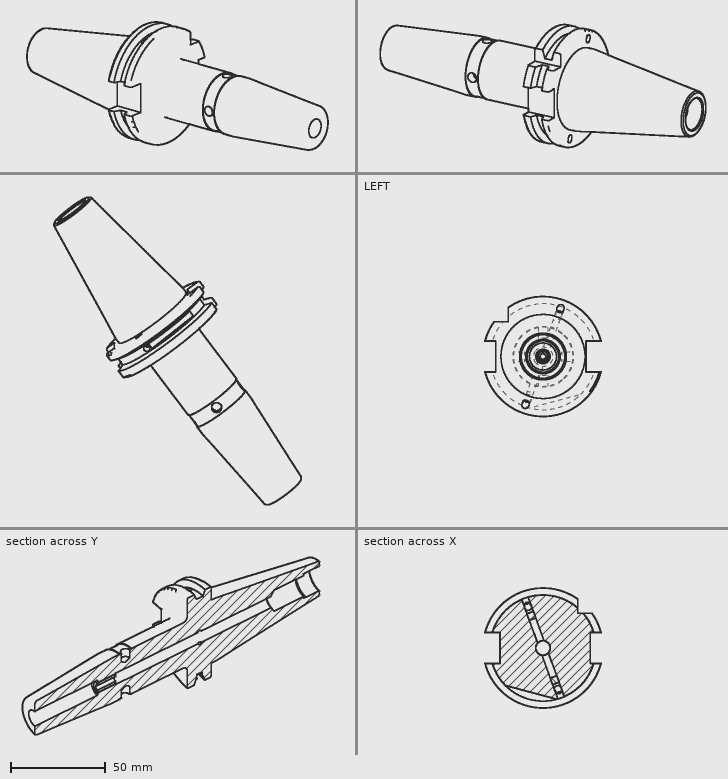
import cadquery as cq
import math

TOTAL_LENGTH = 188.4
SHANK_LENGTH = 68.4
FLANGE_START = 71.5
FLANGE_END = 87.6
SHRINK_TAPER_LENGTH = 50.9
RELIEF_START = 124.5
RELIEF_END = 132.3
SHRINK_TAPER_START = TOTAL_LENGTH - SHRINK_TAPER_LENGTH

GAUGE_RADIUS = 22.2
SHANK_SLOPE = 7 / 48
SHANK_TIP_RADIUS = GAUGE_RADIUS - SHANK_LENGTH * SHANK_SLOPE
FLANGE_DIAMETER = 63.5
FLANGE_RADIUS = FLANGE_DIAMETER / 2
NECK_RADIUS = 16.0
RELIEF_RADIUS = 15.6
NOSE_ANGLE = 4.5
NOSE_RADIUS = NECK_RADIUS - SHRINK_TAPER_LENGTH * math.tan(math.radians(NOSE_ANGLE))

SHANK_TIP_CHAMFER = 0.8
FLANGE_FILLET = 1.0
NECK_FILLET = 3.0
NOSE_FILLET = 2.0

GROOVE_CENTER = 79.3
GROOVE_FLOOR_WIDTH = 4.1
GROOVE_FLOOR_RADIUS = 28.0
GROOVE_HALF_ANGLE = 21.0

FLAT_ANGLE = 15.0
FLAT_DISTANCE = 24.3
FLAT_WIDTH = 3.2

SLOT_WIDTH = 16.2
FRONT_SLOT_FLOOR = 22.8
BACK_SLOT_FLOOR = 25.0
NOTCH_CORNER = 18.5

COUNTERBORE_RADIUS = 8.5
COUNTERBORE_DEPTH = 9.2
COUNTERBORE_CHAMFER = 0.5
STEP_RADIUS = 8.3
STEP_END = 10.5
THREAD_RADIUS = 7.2
THREAD_END = 30.1
COOLANT_RADIUS = 3.8
DRILL_POINT_ANGLE = 59.0
FUNNEL_DEPTH = (THREAD_RADIUS - COOLANT_RADIUS) / math.tan(math.radians(DRILL_POINT_ANGLE))
TOOL_BORE_RADIUS = 5.0
TOOL_BORE_START = 147.0

STOP_SCREW_LENGTH = 12.0
STOP_SCREW_START = TOOL_BORE_START - STOP_SCREW_LENGTH
STOP_SCREW_RADIUS = 3.2
STOP_SCREW_CHAMFER = 0.5
STOP_SCREW_HOLE_RADIUS = 1.5

BALANCE_HOLE_X = 128.3
BALANCE_HOLE_RADIUS = 2.6
BALANCE_HOLE_DEPTH = 5.7
BALANCE_HOLE_COUNT = 4

CHANNEL_ANGLES = (20.0, 200.0)
CHANNEL_RADIUS = 1.9
CHANNEL_MOUTH_DISTANCE = 27.0
CHANNEL_TILT = 30.0
PLUG_RADIUS = 1.7
PLUG_OUTER_DISTANCE = 20.0
PLUG_LENGTH = 3.8

CUT_REACH = 37.7


def revolve_profile(points):
    """Revolve a closed (x, radius) outline about the X axis."""
    return cq.Workplane("XY").polyline(points).close().revolve(360, (0, 0, 0), (1, 0, 0))


def cylinder(radius, length, start, direction):
    return cq.Workplane(obj=cq.Solid.makeCylinder(radius, length, start, direction))


def box_between(low, high):
    size = [b - a for a, b in zip(low, high)]
    return cq.Workplane("XY").box(*size, centered=False).translate(low)


def turn_about_axis(shape, angle):
    """Turn a shape about X; positive angles go from +Z toward -Y."""
    return shape.rotate((0, 0, 0), (1, 0, 0), angle)


def outer_body():
    body = (
        cq.Workplane("XY")
        .moveTo(0, 0)
        .lineTo(0, SHANK_TIP_RADIUS - SHANK_TIP_CHAMFER)
        .lineTo(SHANK_TIP_CHAMFER, SHANK_TIP_RADIUS + SHANK_TIP_CHAMFER * SHANK_SLOPE)
        .lineTo(SHANK_LENGTH, GAUGE_RADIUS)
        .lineTo(FLANGE_START, GAUGE_RADIUS)
        .lineTo(FLANGE_START, FLANGE_RADIUS - FLANGE_FILLET)
        .radiusArc((FLANGE_START + FLANGE_FILLET, FLANGE_RADIUS), FLANGE_FILLET)
        .lineTo(FLANGE_END - FLANGE_FILLET, FLANGE_RADIUS)
        .radiusArc((FLANGE_END, FLANGE_RADIUS - FLANGE_FILLET), FLANGE_FILLET)
        .lineTo(FLANGE_END, NECK_RADIUS + NECK_FILLET)
        .radiusArc((FLANGE_END + NECK_FILLET, NECK_RADIUS), -NECK_FILLET)
        .lineTo(RELIEF_START, NECK_RADIUS)
        .lineTo(RELIEF_START, RELIEF_RADIUS)
        .lineTo(RELIEF_END, RELIEF_RADIUS)
        .lineTo(RELIEF_END, NECK_RADIUS)
        .lineTo(SHRINK_TAPER_START, NECK_RADIUS)
        .lineTo(TOTAL_LENGTH, NOSE_RADIUS)
        .lineTo(TOTAL_LENGTH, 0)
        .close()
        .revolve(360, (0, 0, 0), (1, 0, 0))
    )
    return body.faces(">X").edges().fillet(NOSE_FILLET)


def gripper_groove():
    depth = CUT_REACH - GROOVE_FLOOR_RADIUS
    floor_half = GROOVE_FLOOR_WIDTH / 2
    mouth_half = floor_half + depth * math.tan(math.radians(GROOVE_HALF_ANGLE))
    return revolve_profile([
        (GROOVE_CENTER - floor_half, GROOVE_FLOOR_RADIUS),
        (GROOVE_CENTER - mouth_half, CUT_REACH),
        (GROOVE_CENTER + mouth_half, CUT_REACH),
        (GROOVE_CENTER + floor_half, GROOVE_FLOOR_RADIUS),
    ])


def groove_flat():
    half_width = FLAT_WIDTH / 2
    block = box_between(
        (GROOVE_CENTER - half_width, -CUT_REACH, -GROOVE_FLOOR_RADIUS),
        (GROOVE_CENTER + half_width, CUT_REACH, -FLAT_DISTANCE),
    )
    return turn_about_axis(block, -FLAT_ANGLE)


def flange_slots():
    half = SLOT_WIDTH / 2
    front = box_between((FLANGE_START, -CUT_REACH, -half), (FLANGE_END, -FRONT_SLOT_FLOOR, half))
    back = box_between((FLANGE_START, BACK_SLOT_FLOOR, -half), (FLANGE_END, CUT_REACH, half))
    notch = box_between((FLANGE_START, NOTCH_CORNER, NOTCH_CORNER), (FLANGE_END, CUT_REACH, CUT_REACH))
    return front.add(back).add(notch).combine()


def axial_bore():
    return revolve_profile([
        (0, 0),
        (0, COUNTERBORE_RADIUS + COUNTERBORE_CHAMFER),
        (COUNTERBORE_CHAMFER, COUNTERBORE_RADIUS),
        (COUNTERBORE_DEPTH, COUNTERBORE_RADIUS),
        (COUNTERBORE_DEPTH, STEP_RADIUS),
        (STEP_END, STEP_RADIUS),
        (STEP_END, THREAD_RADIUS),
        (THREAD_END, THREAD_RADIUS),
        (THREAD_END + FUNNEL_DEPTH, COOLANT_RADIUS),
        (STOP_SCREW_START, COOLANT_RADIUS),
        (STOP_SCREW_START, STOP_SCREW_RADIUS),
        (TOOL_BORE_START, STOP_SCREW_RADIUS),
        (TOOL_BORE_START, TOOL_BORE_RADIUS),
        (TOTAL_LENGTH, TOOL_BORE_RADIUS),
        (TOTAL_LENGTH, 0),
    ])


def balance_hole(angle):
    """Blind drilled hole with a conical bottom, pointing at the axis."""
    floor = RELIEF_RADIUS - BALANCE_HOLE_DEPTH
    point = floor - BALANCE_HOLE_RADIUS / math.tan(math.radians(DRILL_POINT_ANGLE))
    hole = (
        cq.Workplane("XZ")
        .moveTo(0, point)
        .lineTo(BALANCE_HOLE_RADIUS, floor)
        .lineTo(BALANCE_HOLE_RADIUS, CUT_REACH)
        .lineTo(0, CUT_REACH)
        .close()
        .revolve(360, (0, 0, 0), (0, 1, 0))
        .translate((BALANCE_HOLE_X, 0, 0))
    )
    return turn_about_axis(hole, angle)


def coolant_channel(angle):
    """Radial hole from the groove to the bore, joined by a tilted hole from the flange face."""
    tilt = math.radians(CHANNEL_TILT)
    run = (GROOVE_CENTER - FLANGE_START) / math.cos(tilt)
    lead = CHANNEL_RADIUS
    direction = cq.Vector(math.cos(tilt), 0, -math.sin(tilt))
    mouth = cq.Vector(FLANGE_START, 0, CHANNEL_MOUTH_DISTANCE)
    tilted = cylinder(CHANNEL_RADIUS, run + lead, mouth - direction * lead, direction)
    radial_length = GROOVE_FLOOR_RADIUS + PLUG_RADIUS
    radial_start = cq.Vector(GROOVE_CENTER, 0, 0)
    radial = cylinder(PLUG_RADIUS, radial_length, radial_start, cq.Vector(0, 0, 1))
    return turn_about_axis(tilted.union(radial), angle)


def make_holder():
    holder = (
        outer_body()
        .cut(gripper_groove())
        .cut(groove_flat())
        .cut(flange_slots())
        .cut(axial_bore())
    )
    for index in range(BALANCE_HOLE_COUNT):
        holder = holder.cut(balance_hole(index * 360 / BALANCE_HOLE_COUNT))
    for angle in CHANNEL_ANGLES:
        holder = holder.cut(coolant_channel(angle))
    return holder


def make_stop_screw():
    end = STOP_SCREW_START + STOP_SCREW_LENGTH
    return revolve_profile([
        (STOP_SCREW_START, STOP_SCREW_HOLE_RADIUS),
        (STOP_SCREW_START, STOP_SCREW_RADIUS - STOP_SCREW_CHAMFER),
        (STOP_SCREW_START + STOP_SCREW_CHAMFER, STOP_SCREW_RADIUS),
        (end, STOP_SCREW_RADIUS),
        (end, STOP_SCREW_HOLE_RADIUS),
    ])


def make_plug(angle):
    start = cq.Vector(GROOVE_CENTER, 0, PLUG_OUTER_DISTANCE - PLUG_LENGTH)
    return turn_about_axis(cylinder(PLUG_RADIUS, PLUG_LENGTH, start, cq.Vector(0, 0, 1)), angle)


holder = make_holder().solids()
stop_screw = make_stop_screw()
plugs = [make_plug(angle) for angle in CHANNEL_ANGLES]

result = cq.Compound.makeCompound([
    holder.val(),
    stop_screw.val(),
    *[plug.val() for plug in plugs],
])